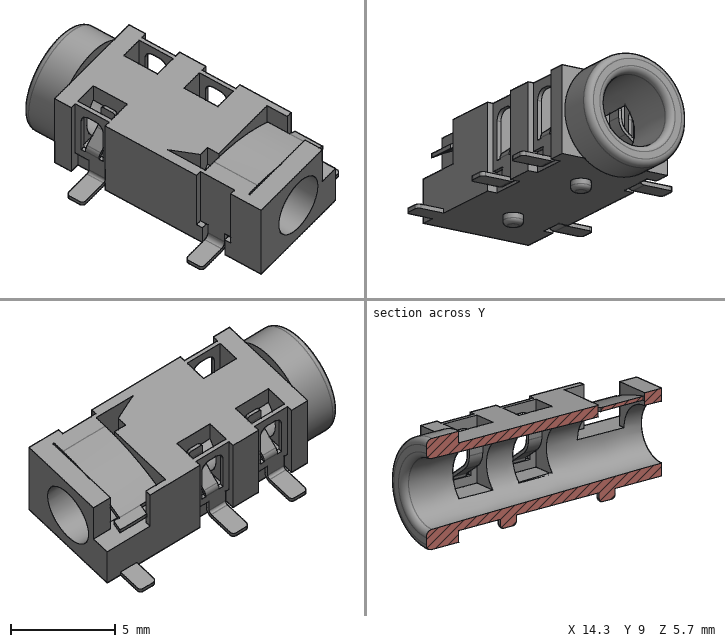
import cadquery as cq
import math


total_length = 14.3
collar_length = 2.0
collar_diameter = 5.7
collar_radius = collar_diameter / 2
collar_round = 0.35
bore_mouth_radius = 1.8
bore_rear_radius = 1.57

housing_width = 6.0
housing_half_width = housing_width / 2
housing_height = 4.5
housing_top = housing_height / 2
housing_bottom = -housing_top

peg_radius = 0.5
peg_height = 0.5
peg_round = 0.23
peg_positions = [5.0, 11.0]

sheet = 0.21
plate_inner_y = 2.47
plate_outer_y = plate_inner_y + sheet
plate_bottom = -1.22
tail_width = 1.0
tail_span = 9.0
tail_end_y = tail_span / 2
tail_bend = 0.16
foot_top = housing_bottom + sheet
foot_corner_round = 0.2

side_plate_width = 2.82
side_tail_offset = -0.3
window_width = 1.3
window_bottom = -0.75
window_top = 1.75
window_round = 0.49
tongue_width = 0.82
tongue_sheet = 0.17
tongue_inner_y = plate_outer_y - tongue_sheet
tongue_tip_y = 1.42
tongue_tip_z = 1.35
tongue_lower_knee_z = -0.53
tongue_upper_knee_z = 0.43
tongue_lower_bend = 0.19
tongue_upper_bend = 0.83
tongue_tip_round = 0.15

front_station = 4.0
second_station = 7.6
pocket_width = 2.02
pocket_inner_y = 1.23

cavity_floor = 0.0
cavity_x0 = 10.47
cavity_x1 = 13.25
cavity_end_y = 2.67
rear_notch_x0 = 11.67
rear_notch_y = 1.95
relief_start_x = 8.34
relief_x = 9.8
relief_step_y = -1.79
relief_inner_y = -1.23

rear_plate_x0 = 6.9
rear_plate_x1 = 13.79
rear_recess_x = 11.47
rear_recess_width = 2.03
rear_recess_lower_width = 1.33
rear_tail_x = 11.4
rear_tail_bend = 0.26

strip_x0 = 10.6
strip_x1 = 13.18
strip_arc_radius = 10.3
strip_arc_start_y = -1.79
strip_end_y = 2.55
tab_x0 = 11.88
tab_x1 = 13.53
tab_tip_y = 3.02
tab_tip_z = 1.06

switch_tail_x = 12.98


def block(x0, x1, y0, y1, z0, z1):
    """Box between two opposite corners."""
    return cq.Workplane("XY").box(x1 - x0, y1 - y0, z1 - z0, centered=False).translate((x0, y0, z0))


def centred_block(x, width, y0, y1, z0, z1):
    """Box of a given width, centred on x."""
    return block(x - width / 2, x + width / 2, y0, y1, z0, z1)


def extrude_profile(points, x_centre, width):
    """Extrude a closed outline in the YZ plane along X, centred on x_centre."""
    outline = cq.Workplane("YZ", origin=(x_centre - width / 2, 0, 0)).polyline(points).close()
    return outline.extrude(width)


def round_bend(solid, x, y, z, radius):
    """Round the X-parallel edge nearest to a point."""
    return solid.edges("|X").edges(cq.selectors.NearestToPointSelector((x, y, z))).fillet(radius)


def turned(solid):
    """Turn a part half a revolution about the Z axis."""
    return solid.rotate((0, 0, 0), (0, 0, 1), 180)


def make_collar():
    """Solid round collar with a rounded front rim."""
    collar = cq.Workplane("YZ").circle(collar_radius).extrude(collar_length)
    return collar.faces("<X").edges().fillet(collar_round)


def make_bore():
    """Cutter for the through bore: a rounded mouth, then a slight taper to the rear face."""
    return (
        cq.Workplane("XY")
        .lineTo(0, bore_mouth_radius + collar_round)
        .radiusArc((collar_round, bore_mouth_radius), -collar_round)
        .lineTo(total_length, bore_rear_radius)
        .lineTo(total_length, 0)
        .close()
        .revolve(360, (0, 0, 0), (1, 0, 0))
    )


def make_side_pocket():
    """Cutter at x = 0 on the +Y side: an outer recess and a deeper pocket open at the top."""
    recess = centred_block(0, pocket_width, plate_inner_y, housing_half_width, housing_bottom, housing_top)
    pocket = centred_block(0, pocket_width, pocket_inner_y, housing_half_width, plate_bottom, housing_top)
    return recess.union(pocket)


def make_rear_cavity():
    """Cutter for the spring cavity, its open rear corner and the tapered relief beside it."""
    cavity = block(cavity_x0, cavity_x1, -plate_inner_y, cavity_end_y, cavity_floor, housing_top)
    corner = block(
        rear_notch_x0, total_length, rear_notch_y, housing_half_width, cavity_floor, housing_top
    )
    relief_outline = [
        (relief_start_x, -plate_inner_y),
        (relief_x, relief_step_y),
        (relief_x, relief_inner_y),
        (cavity_x0, relief_inner_y),
        (cavity_x0, -plate_inner_y),
    ]
    relief = (
        cq.Workplane("XY", origin=(0, 0, cavity_floor))
        .polyline(relief_outline)
        .close()
        .extrude(housing_top - cavity_floor)
    )
    return cavity.union(corner).union(relief)


def make_rear_recess():
    """Cutter on the -Y side, wide beside the plate and narrower around the tail."""
    upper = centred_block(
        rear_recess_x, rear_recess_width, -housing_half_width, -plate_inner_y, plate_bottom, housing_top
    )
    lower = centred_block(
        rear_recess_x, rear_recess_lower_width, -housing_half_width, -plate_inner_y,
        housing_bottom, plate_bottom,
    )
    return upper.union(lower)


def make_housing():
    """Rectangular block with the side pockets, the spring cavity and the rear recess cut out."""
    housing = block(
        collar_length, total_length, -housing_half_width, housing_half_width, housing_bottom, housing_top
    )
    pocket = make_side_pocket()
    housing = housing.cut(pocket.translate((front_station, 0, 0)))
    housing = housing.cut(pocket.translate((second_station, 0, 0)))
    housing = housing.cut(turned(pocket).translate((front_station, 0, 0)))
    return housing.cut(make_rear_cavity()).cut(make_rear_recess())


def make_peg(x):
    """Locating peg with a rounded lower end."""
    peg = cq.Workplane("XY", origin=(x, 0, housing_bottom)).circle(peg_radius).extrude(-peg_height)
    return peg.faces("<Z").edges().fillet(peg_round)


def make_tail(x, bend):
    """Solder tail on the +Y side: it drops from the plate and turns outward into a flat foot."""
    outline = [
        (plate_inner_y, plate_bottom),
        (plate_outer_y, plate_bottom),
        (plate_outer_y, foot_top),
        (tail_end_y, foot_top),
        (tail_end_y, housing_bottom),
        (plate_inner_y, housing_bottom),
    ]
    tail = extrude_profile(outline, x, tail_width)
    tail = round_bend(tail, x, plate_outer_y, foot_top, bend)
    tail = round_bend(tail, x, plate_inner_y, housing_bottom, bend + sheet)
    return tail.faces(">Y").edges("|Z").fillet(foot_corner_round)


def make_tongue():
    """Spring tongue: up from the window sill, inward along a slope, then up again to the tip."""
    slope_angle = math.atan2(plate_outer_y - tongue_tip_y, tongue_upper_knee_z - tongue_lower_knee_z)
    miter_drop = tongue_sheet * math.tan(slope_angle / 2)
    lower_inner_z = tongue_lower_knee_z - miter_drop
    upper_inner_z = tongue_upper_knee_z - miter_drop
    inner_tip_y = tongue_tip_y - tongue_sheet
    outline = [
        (plate_outer_y, plate_bottom),
        (plate_outer_y, tongue_lower_knee_z),
        (tongue_tip_y, tongue_upper_knee_z),
        (tongue_tip_y, tongue_tip_z),
        (inner_tip_y, tongue_tip_z),
        (inner_tip_y, upper_inner_z),
        (tongue_inner_y, lower_inner_z),
        (tongue_inner_y, plate_bottom),
    ]
    tongue = extrude_profile(outline, 0, tongue_width)
    tongue = round_bend(tongue, 0, plate_outer_y, tongue_lower_knee_z, tongue_lower_bend + tongue_sheet)
    tongue = round_bend(tongue, 0, tongue_inner_y, lower_inner_z, tongue_lower_bend)
    tongue = round_bend(tongue, 0, tongue_tip_y, tongue_upper_knee_z, tongue_upper_bend)
    tongue = round_bend(tongue, 0, inner_tip_y, upper_inner_z, tongue_upper_bend + tongue_sheet)
    return tongue.faces(">Z").edges("|Y").fillet(tongue_tip_round)


def make_side_contact():
    """Side contact at x = 0 on the +Y side."""
    plate = centred_block(0, side_plate_width, plate_inner_y, plate_outer_y, plate_bottom, housing_top)
    window = centred_block(0, window_width, plate_inner_y, plate_outer_y, window_bottom, window_top)
    window = window.faces(">Z").edges("|Y").fillet(window_round)
    tail = make_tail(side_tail_offset, tail_bend)
    return plate.cut(window).union(make_tongue()).union(tail)


def make_rear_spring():
    """Rear contact: a plate on the -Y side whose strip arches over the bore to a tab at +Y."""
    plate = block(
        rear_plate_x0, rear_plate_x1, -plate_outer_y, -plate_inner_y, plate_bottom, housing_top
    )
    tail = turned(make_tail(-rear_tail_x, rear_tail_bend))

    arc_centre_z = housing_top - strip_arc_radius

    def arc_point(radius, y):
        run = y - strip_arc_start_y
        return (y, arc_centre_z + math.sqrt(radius**2 - run**2))

    inner_radius = strip_arc_radius - sheet
    arc_middle_y = (strip_arc_start_y + strip_end_y) / 2
    strip = (
        cq.Workplane("YZ", origin=(strip_x0, 0, 0))
        .moveTo(-plate_outer_y, housing_top)
        .lineTo(strip_arc_start_y, housing_top)
        .threePointArc(arc_point(strip_arc_radius, arc_middle_y), arc_point(strip_arc_radius, strip_end_y))
        .lineTo(*arc_point(inner_radius, strip_end_y))
        .threePointArc(arc_point(inner_radius, arc_middle_y), arc_point(inner_radius, strip_arc_start_y))
        .lineTo(-plate_outer_y, housing_top - sheet)
        .close()
        .extrude(strip_x1 - strip_x0)
    )

    tab_root_y, tab_root_z = arc_point(strip_arc_radius, strip_end_y)
    tab_outline = [
        (tab_root_y, tab_root_z),
        (tab_tip_y, tab_tip_z),
        (tab_tip_y, tab_tip_z - sheet),
        (tab_root_y, tab_root_z - sheet),
    ]
    tab = extrude_profile(tab_outline, (tab_x0 + tab_x1) / 2, tab_x1 - tab_x0)
    return plate.union(tail).union(strip).union(tab)


def make_switch_foot():
    """Flat solder foot of the switch contact, rooted in the rear corner of the housing."""
    foot = centred_block(
        switch_tail_x, tail_width, plate_inner_y, tail_end_y, housing_bottom, foot_top
    )
    return foot.faces(">Y").edges("|Z").fillet(foot_corner_round)


result = make_housing().union(make_collar()).cut(make_bore())
for peg_x in peg_positions:
    result = result.union(make_peg(peg_x))

side_contact = make_side_contact()
result = result.union(side_contact.translate((front_station, 0, 0)))
result = result.union(side_contact.translate((second_station, 0, 0)))
result = result.union(turned(side_contact).translate((front_station, 0, 0)))
result = result.union(make_rear_spring()).union(make_switch_foot())